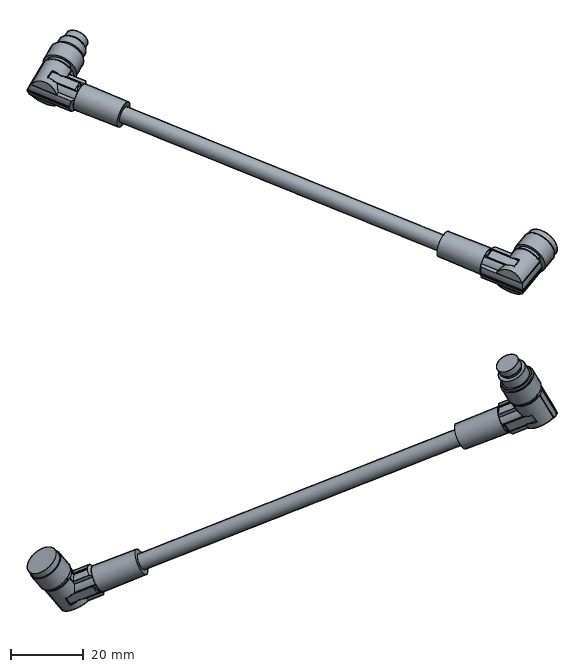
import cadquery as cq
import math

LENGTH = 157.3
CABLE_RADIUS = 2.4
STEM_RADIUS = 3.8
STEM_END = 63.4
SLEEVE_END = 49.9
SLEEVE_ROOT_RADIUS = 4.0
SLEEVE_MOUTH_RADIUS = 3.8

PLUG_TILT = 4.0
COLLAR_RADIUS = 5.0
COLLAR_BOTTOM = 6.6
COLLAR_TOP = 11.6

BODY_RADIUS = 4.5
BODY_TOP = 5.5
NECK_RADIUS = 4.2
NECK_THICKNESS = 6.6
ROOF_EDGE = 3.3
ROOF_SHOULDER = 4.1

BAR_WIDTH = 4.4
BAR_RADIUS = 4.7
CREST_WIDTH = 0.5
CREST_HEIGHT = 4.9
END_SETBACK = 1.0
SLOPE_FOOT = 3.5

RIB_WIDTH = 2.8
RIB_HEIGHT = 4.0
RIB_LENGTH = 9.5

tilt = math.radians(PLUG_TILT)
PLUG_X = LENGTH / 2 - COLLAR_RADIUS * math.cos(tilt) - COLLAR_TOP * math.sin(tilt)

MALE_TIP = [
    (4.5, COLLAR_TOP),
    (4.5, 12.5),
    (4.1, 12.5),
    (4.1, 15.3),
    (3.0, 15.3),
    (3.0, 16.0),
    (3.3, 16.0),
    (3.3, 18.2),
]
FEMALE_TIP = [(4.7, COLLAR_TOP), (4.7, 13.5)]


def rod_along_x(radius, start, end):
    return cq.Workplane("YZ", origin=(start, 0, 0)).circle(radius).extrude(end - start)


def rod_along_y(radius, start, end):
    return cq.Workplane("XZ", origin=(0, start, 0)).circle(radius).extrude(start - end)


def tilted(solid):
    """Lean a plug built on the Y axis and move it to the right-hand cable end."""
    return solid.rotate((0, 0, 0), (0, 0, 1), -PLUG_TILT).translate((PLUG_X, 0, 0))


def bar_along_x(start, end):
    """Rounded bar on the -Y and +Y sides of the X axis, each side with its crest."""
    length = end - start
    plane = cq.Workplane("YZ", origin=(start, 0, 0))
    slab = plane.rect(2 * BAR_RADIUS, BAR_WIDTH).extrude(length)
    crest = plane.rect(2 * CREST_HEIGHT, CREST_WIDTH).extrude(length)
    return rod_along_x(BAR_RADIUS, start, end).intersect(slab).union(crest)


def elbow_body():
    """Upright housing with a bar on two sides and a roof-shaped lower end."""
    reach = 2 * BODY_RADIUS
    bar = bar_along_x(-reach, BODY_TOP).rotate((0, 0, 0), (0, 0, 1), 90)
    column = rod_along_y(BODY_RADIUS, -reach, BODY_TOP).union(bar)
    left, right = PLUG_X - reach, PLUG_X + reach
    roof = (
        cq.Workplane("YZ", origin=(left, 0, 0))
        .polyline([
            (reach, -BODY_RADIUS),
            (-ROOF_EDGE, -BODY_RADIUS),
            (-ROOF_SHOULDER, -BAR_WIDTH / 2),
            (-ROOF_SHOULDER, BAR_WIDTH / 2),
            (-ROOF_EDGE, BODY_RADIUS),
            (reach, BODY_RADIUS),
        ])
        .close()
        .extrude(right - left)
        .union(bar_along_x(left, right))
    )
    return tilted(column).intersect(roof)


def sloped_end_limit(height):
    """Block that slopes from the stem end up to the given height on both Y sides."""
    return (
        cq.Workplane("XY")
        .polyline([
            (STEM_END, -SLOPE_FOOT),
            (STEM_END + END_SETBACK, -height),
            (PLUG_X, -height),
            (PLUG_X, height),
            (STEM_END + END_SETBACK, height),
            (STEM_END, SLOPE_FOOT),
        ])
        .close()
        .extrude(BAR_RADIUS, both=True)
    )


def stem_bar():
    return bar_along_x(STEM_END, PLUG_X).intersect(sloped_end_limit(CREST_HEIGHT))


def flat_ribs():
    rib_center = STEM_END + RIB_LENGTH / 2
    block = cq.Workplane("XY", origin=(rib_center, 0, 0)).box(RIB_LENGTH, 2 * RIB_HEIGHT, RIB_WIDTH)
    return block.intersect(sloped_end_limit(RIB_HEIGHT)).rotate((0, 0, 0), (1, 0, 0), 90)


def rib_clearance():
    """Space above the upper flat rib, where the housing is cut back."""
    return (
        cq.Workplane("XY", origin=(STEM_END + RIB_LENGTH / 2, 0, RIB_HEIGHT))
        .rect(RIB_LENGTH, RIB_WIDTH)
        .extrude(BODY_RADIUS)
    )


def sleeve():
    outline = [
        (SLEEVE_END, 0),
        (SLEEVE_END, SLEEVE_MOUTH_RADIUS),
        (STEM_END, SLEEVE_ROOT_RADIUS),
        (STEM_END, 0),
    ]
    return cq.Workplane("XY").polyline(outline).close().revolve(360, (0, 0, 0), (1, 0, 0))


def neck():
    length = COLLAR_BOTTOM - BODY_TOP
    flats = (
        cq.Workplane("XZ", origin=(0, BODY_TOP, 0))
        .rect(NECK_THICKNESS, 2 * NECK_RADIUS)
        .extrude(-length)
    )
    return rod_along_y(NECK_RADIUS, BODY_TOP, COLLAR_BOTTOM).intersect(flats)


def plug(tip):
    """Coupling collar followed by the stepped tip, turned about the plug axis."""
    tip_end = tip[-1][1]
    collar = [(0, COLLAR_BOTTOM), (COLLAR_RADIUS, COLLAR_BOTTOM), (COLLAR_RADIUS, COLLAR_TOP)]
    outline = collar + tip + [(0, tip_end)]
    return cq.Workplane("XY").polyline(outline).close().revolve(360, (0, 0, 0), (0, 1, 0))


def cable_end(tip):
    """Complete right-hand cable end: sleeve, elbow and plug."""
    stem = rod_along_x(STEM_RADIUS, STEM_END, PLUG_X)
    elbow = elbow_body().union(stem).union(stem_bar()).union(flat_ribs())
    clearance = rib_clearance()
    elbow = elbow.cut(clearance).cut(clearance.mirror("XY"))
    return elbow.union(sleeve()).union(tilted(neck())).union(tilted(plug(tip)))


cable = rod_along_x(CABLE_RADIUS, -SLEEVE_END, SLEEVE_END)
female_end = cable_end(FEMALE_TIP)
male_end = cable_end(MALE_TIP).mirror("YZ")
result = cable.union(female_end).union(male_end)